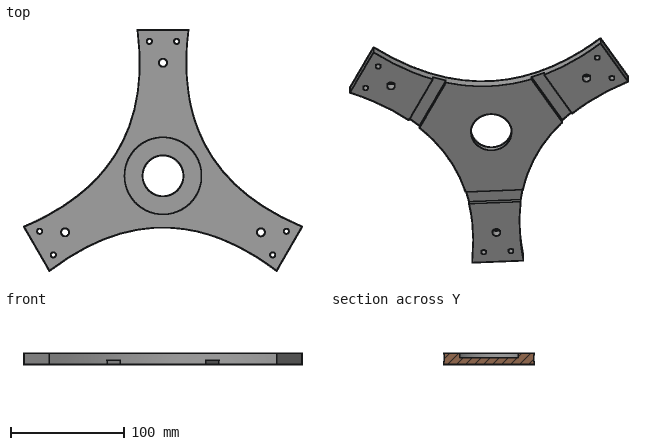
import cadquery as cq
import math

overall_width = 246.3
thickness = 10.0
arm_count = 3
arm_angle = 360 / arm_count
arm_end_width = 45.3
waist_radius = 45.8
arm_length = (overall_width / 2 - arm_end_width / 4) / math.cos(math.radians(30))

bore_diameter = 36.0
recess_diameter = 68.2
recess_depth = 4.0

end_hole_diameter = 4.5
end_hole_spacing = 24.1
end_hole_distance = 119.0
inner_hole_diameter = 7.0
inner_hole_distance = 100.0

groove_width = 11.8
groove_depth = 4.0
groove_distance = 64.3


def polar_point(radius, angle):
    """Point at a radius, with its angle in degrees measured from +X."""
    return (radius * math.cos(math.radians(angle)), radius * math.sin(math.radians(angle)))


def make_plate():
    """Flat arm ends joined by concave splines, going counterclockwise from the +Y arm."""
    corner_radius = math.hypot(arm_length, arm_end_width / 2)
    corner_angle = math.degrees(math.atan2(arm_end_width / 2, arm_length))
    outline = cq.Workplane("XY").moveTo(*polar_point(corner_radius, 90 - corner_angle))
    for index in range(arm_count):
        arm_direction = 90 + index * arm_angle
        next_direction = arm_direction + arm_angle
        outline = outline.lineTo(*polar_point(corner_radius, arm_direction + corner_angle))
        side_points = [
            polar_point(waist_radius, arm_direction + arm_angle / 2),
            polar_point(corner_radius, next_direction - corner_angle),
        ]
        outline = outline.spline(side_points, includeCurrent=True)
    return outline.close().extrude(thickness)


def make_arm_cuts():
    """Holes and underside groove of the arm pointing along +Y."""
    end_holes = (
        cq.Workplane("XY")
        .pushPoints([(side * end_hole_spacing / 2, end_hole_distance) for side in (-1, 1)])
        .circle(end_hole_diameter / 2)
        .extrude(thickness)
    )
    inner_hole = (
        cq.Workplane("XY")
        .center(0, inner_hole_distance)
        .circle(inner_hole_diameter / 2)
        .extrude(thickness)
    )
    groove = (
        cq.Workplane("XY")
        .center(0, groove_distance)
        .rect(2 * arm_end_width, groove_width)
        .extrude(groove_depth)
    )
    return end_holes.union(inner_hole).union(groove)


def cut_centre_bore(plate):
    """Through bore with a wider recess in the top face."""
    return (
        plate.faces(">Z")
        .workplane(origin=(0, 0, thickness))
        .cboreHole(bore_diameter, recess_diameter, recess_depth)
    )


result = cut_centre_bore(make_plate())
arm_cuts = make_arm_cuts()
for index in range(arm_count):
    result = result.cut(arm_cuts.rotate((0, 0, 0), (0, 0, 1), index * arm_angle))